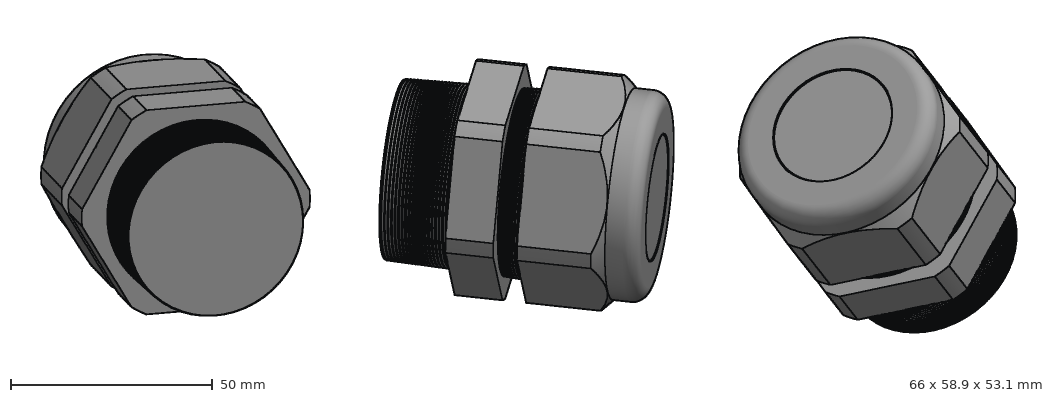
import cadquery as cq
import math


overall_length = 66.05
nut_length = 30.05
body_hex_start = 36.0
body_hex_end = 48.1

across_flats = 53.1
corner_radius = 29.45

dome_radius = 26.5
dome_fillet = 3.8
collar_end = 8.4

bore_radius = 16.0
plug_gap = 0.25
plug_radius = bore_radius - plug_gap
plug_recess = 0.25

flank_half_angle = 30.0

nut_core_radius = 23.25
nut_thread_rings = 9
nut_thread_start_height = 0.65
nut_thread_end_height = 0.3

entry_core_radius = 22.5
entry_thread_first = 48.9
entry_thread_last = 65.6
entry_thread_rings = 20
entry_thread_start_height = 0.65
entry_thread_end_height = 0.2


def cylinder(radius, start, end):
    """Solid cylinder on the X axis from start to end."""
    return cq.Workplane("YZ").workplane(offset=start).circle(radius).extrude(end - start)


def hex_prism(start, end):
    """Hexagon along X with flats at +Z and -Z and its corners cut round."""
    across_corners = across_flats / math.cos(math.radians(30))
    prism = cq.Workplane("YZ").workplane(offset=start).polygon(6, across_corners).extrude(end - start)
    return prism.intersect(cylinder(corner_radius, start, end))


def threaded_rod(start, end, core_radius, last_crest, rings, start_height, end_height):
    """Core from start to end with evenly spaced triangular rings of falling height.

    The first crest lies on the start face, and a last crest at end lies on the end face.
    """
    profile = cq.Workplane("XY").moveTo(start, 0)
    for ring in range(rings):
        progress = ring / (rings - 1)
        crest = start + progress * (last_crest - start)
        height = start_height + progress * (end_height - start_height)
        half_width = height * math.tan(math.radians(flank_half_angle))
        if crest - half_width > start:
            profile = profile.lineTo(crest - half_width, core_radius)
        profile = profile.lineTo(crest, core_radius + height)
        if crest + half_width < end:
            profile = profile.lineTo(crest + half_width, core_radius)
    if last_crest < end:
        profile = profile.lineTo(end, core_radius)
    profile = profile.lineTo(end, 0).close()
    return profile.revolve(360, (0, 0, 0), (1, 0, 0))


def thread_relief():
    """Neck that leaves the hexagon along the core and curves up to the first entry crest."""
    run = entry_thread_first - body_hex_end
    rise = entry_thread_start_height
    arc_radius = (run**2 + rise**2) / (2 * rise)
    half_sweep = math.atan2(rise, run)
    arc_middle = (
        body_hex_end + arc_radius * math.sin(half_sweep),
        entry_core_radius + arc_radius * (1 - math.cos(half_sweep)),
    )
    return (
        cq.Workplane("XY")
        .moveTo(body_hex_end, 0)
        .lineTo(body_hex_end, entry_core_radius)
        .threePointArc(arc_middle, (entry_thread_first, entry_core_radius + rise))
        .lineTo(entry_thread_first, 0)
        .close()
        .revolve(360, (0, 0, 0), (1, 0, 0))
    )


def make_nut():
    """Hex nut with a rounded dome, chamfered front corners and a through bore."""
    chamfer_end = collar_end + corner_radius - dome_radius
    arc_inset = dome_fillet * (1 - math.sin(math.radians(45)))
    envelope = (
        cq.Workplane("XY")
        .lineTo(0, dome_radius - dome_fillet)
        .threePointArc((arc_inset, dome_radius - arc_inset), (dome_fillet, dome_radius))
        .lineTo(collar_end, dome_radius)
        .lineTo(chamfer_end, corner_radius)
        .lineTo(nut_length, corner_radius)
        .lineTo(nut_length, 0)
        .close()
        .revolve(360, (0, 0, 0), (1, 0, 0))
    )
    nut = hex_prism(0, nut_length).intersect(envelope)
    return nut.cut(cylinder(bore_radius, 0, nut_length))


def make_body():
    """Plug, nut-side thread, hexagon and entry thread in one piece."""
    plug = cylinder(plug_radius, plug_recess, nut_length)
    nut_thread = threaded_rod(
        nut_length, body_hex_start, nut_core_radius,
        body_hex_start, nut_thread_rings,
        nut_thread_start_height, nut_thread_end_height,
    )
    hexagon = hex_prism(body_hex_start, body_hex_end)
    entry_thread = threaded_rod(
        entry_thread_first, overall_length, entry_core_radius,
        entry_thread_last, entry_thread_rings,
        entry_thread_start_height, entry_thread_end_height,
    )
    return plug.union(nut_thread).union(hexagon).union(thread_relief()).union(entry_thread)


nut = make_nut()
body = make_body()

result = cq.Compound.makeCompound([nut.val(), body.val()])